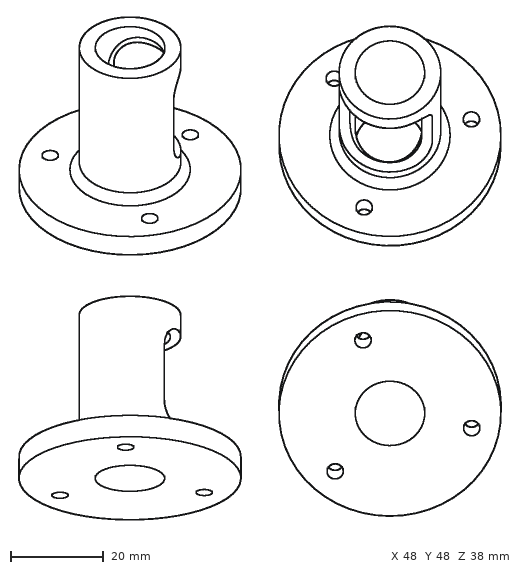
import cadquery as cq
import math

flange_diameter = 48.0
flange_thickness = 5.0
mount_hole_diameter = 3.5
mount_hole_count = 3
mount_circle_radius = 18.0
first_hole_angle = 90.0

total_height = 38.0
tube_diameter = 22.0
bore_diameter = 15.0
collar_size = 2.0

window_bottom = 10.0
window_top = 33.0
window_inner_y = 3.0
window_corner_radius = 5.0
window_bevel_along_bore = 2.5
window_bevel_into_wall = 1.25
tolerance = 0.005


def make_body():
    """Revolve the flange, conical collar and tube about Z, bore included."""
    tube_radius = tube_diameter / 2
    collar_top = flange_thickness + collar_size
    return (
        cq.Workplane("XZ")
        .moveTo(bore_diameter / 2, 0)
        .lineTo(flange_diameter / 2, 0)
        .lineTo(flange_diameter / 2, flange_thickness)
        .lineTo(tube_radius + collar_size, flange_thickness)
        .lineTo(tube_radius, collar_top)
        .lineTo(tube_radius, total_height)
        .lineTo(bore_diameter / 2, total_height)
        .close()
        .revolve(360, (0, 0, 0), (0, 1, 0))
    )


def make_mount_holes():
    """Cylinders for the evenly spaced holes through the flange."""
    return (
        cq.Workplane("XY")
        .polarArray(mount_circle_radius, first_hole_angle, 360, mount_hole_count)
        .circle(mount_hole_diameter / 2)
        .extrude(flange_thickness)
    )


def make_window():
    """Block across the +Y side of the tube with its two inner edges rounded."""
    window_depth = tube_diameter / 2 - window_inner_y
    return (
        cq.Workplane("XY")
        .box(tube_diameter, window_depth, window_top - window_bottom, centered=(True, False, False))
        .edges("|X and <Y")
        .fillet(window_corner_radius)
        .translate((0, window_inner_y, window_bottom))
    )


def is_window_edge_on_bore(edge):
    """True for the edges where the window breaks through the bore surface."""
    for fraction in (0, 0.3, 0.6, 1):
        point = edge.positionAt(fraction)
        on_bore = abs(math.hypot(point.x, point.y) - bore_diameter / 2) < tolerance
        in_window = point.y > window_inner_y - tolerance and window_bottom < point.z < window_top
        if not (on_bore and in_window):
            return False
    return True


def bevel_window(body):
    """Bevel the inner rim of the window, longer along the bore than into the wall."""
    rim = body.edges().filter(is_window_edge_on_bore)
    return rim.chamfer(window_bevel_along_bore, window_bevel_into_wall)


body_with_openings = make_body().cut(make_mount_holes()).cut(make_window())
result = bevel_window(body_with_openings)